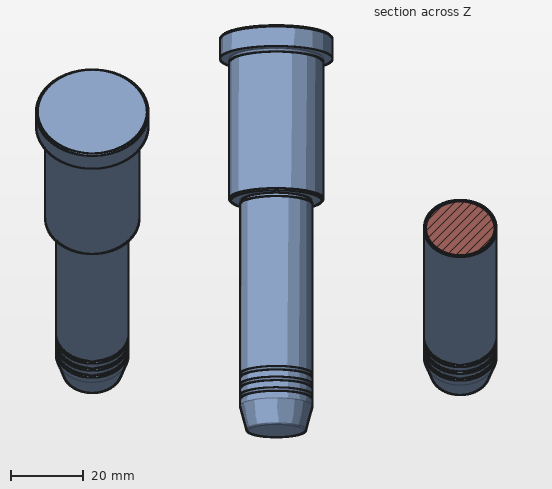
import cadquery as cq
import math

total_length = 111.0
head_height = 6.0
collar_length = 40.0

head_radius = 31.0 / 2
collar_radius = 26.0 / 2
shank_radius = 20.0 / 2

edge_chamfer = 0.5
tip_fillet = 0.5

taper_length = 7.0
taper_angle = math.radians(15)

neck_height = 1.0
neck_depth = 0.5

groove_radius = 0.5

groove_count = 3
groove_pitch = 3.0
first_groove_base = 9.0

head_base = total_length - head_height
collar_base = head_base - collar_length
tip_radius = shank_radius - taper_length * math.tan(taper_angle)


def cylinder(radius, base, top):
    """Solid cylinder on the Z axis between two heights."""
    return cq.Workplane("XY").workplane(offset=base).circle(radius).extrude(top - base)


def revolve_profile(points):
    """Solid of revolution about Z from (radius, height) points."""
    return cq.Workplane("XZ").polyline(points).close().revolve(360, (0, 0, 0), (0, 1, 0))


def make_head():
    return cylinder(head_radius, head_base, total_length).faces(">Z").edges().chamfer(edge_chamfer)


def make_collar():
    return cylinder(collar_radius, collar_base, head_base).faces("<Z").edges().chamfer(edge_chamfer)


def make_shank():
    """Straight shank ending in a cone with a rounded tip edge."""
    shank = revolve_profile([
        (0, 0),
        (tip_radius, 0),
        (shank_radius, taper_length),
        (shank_radius, collar_base),
        (0, collar_base),
    ])
    return shank.faces("<Z").edges().fillet(tip_fillet)


def round_groove(radius, base):
    """Ring cutter with a half-round section, built as two quarter arcs meeting on its floor."""
    reach = groove_radius * math.sqrt(0.5)
    middle = base + groove_radius
    return (
        cq.Workplane("XZ")
        .moveTo(radius, base)
        .threePointArc((radius - reach, middle - reach), (radius - groove_radius, middle))
        .threePointArc((radius - reach, middle + reach), (radius, middle + groove_radius))
        .close()
        .revolve(360, (0, 0, 0), (0, 1, 0), clean=False)
    )


def neck_relief():
    """Square-sided ring cutter that necks the shank down just below the collar."""
    neck_base = collar_base - neck_height
    sleeve = cylinder(shank_radius, neck_base, collar_base)
    return sleeve.cut(cylinder(shank_radius - neck_depth, neck_base, collar_base))


result = make_head().union(make_collar()).union(make_shank())
result = result.cut(round_groove(collar_radius, head_base - 2 * groove_radius), clean=False)
result = result.cut(neck_relief(), clean=False)
for index in range(groove_count):
    result = result.cut(round_groove(shank_radius, first_groove_base + index * groove_pitch), clean=False)